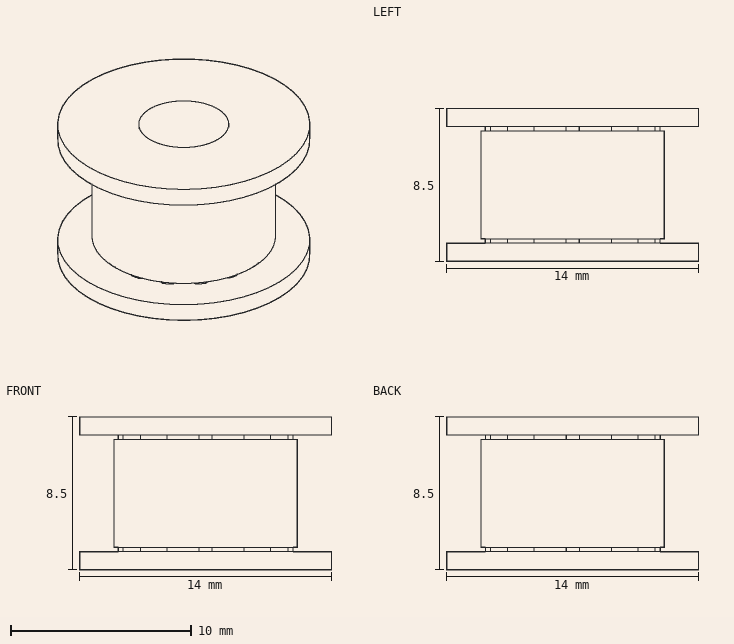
import cadquery as cq
import math

height = 8.5
flange_diameter = 14.0
flange_thickness = 1.02
bore_diameter = 5.0

drum_diameter = 10.19
neck_height = 0.22

tooth_count = 16
tooth_tip_diameter = 9.72
groove_radius = 0.55
groove_depth = 0.75
tooth_tip_fillet = 0.18

toothed_height = height - 2 * flange_thickness
drum_height = toothed_height - 2 * neck_height
tip_radius = tooth_tip_diameter / 2
groove_center = tip_radius - groove_depth + groove_radius


def cylinder(diameter, base, length):
    """Upright cylinder on the Z axis, starting at height base."""
    return cq.Workplane("XY").workplane(offset=base).circle(diameter / 2).extrude(length)


def toothed_core():
    """Toothed cylinder between the flanges, with a tooth centred on each axis."""
    core = cylinder(tooth_tip_diameter, -toothed_height / 2, toothed_height)
    groove = (
        cq.Workplane("XY")
        .workplane(offset=-toothed_height / 2)
        .moveTo(tip_radius + groove_radius, -groove_radius)
        .lineTo(groove_center, -groove_radius)
        .threePointArc((groove_center - groove_radius, 0), (groove_center, groove_radius))
        .lineTo(tip_radius + groove_radius, groove_radius)
        .close()
        .extrude(toothed_height)
    )
    pitch_angle = 360 / tooth_count
    for index in range(tooth_count):
        core = core.cut(groove.rotate((0, 0, 0), (0, 0, 1), (index + 0.5) * pitch_angle))

    wall_end_radius = math.hypot(groove_center, groove_radius)
    mouth_limit = (wall_end_radius + tip_radius) / 2
    mouth_edges = [
        edge for edge in core.edges("|Z").vals()
        if math.hypot(edge.Center().x, edge.Center().y) > mouth_limit
    ]
    return core.newObject(mouth_edges).fillet(tooth_tip_fillet)


result = toothed_core().union(cylinder(drum_diameter, -drum_height / 2, drum_height))
for flange_base in (-height / 2, toothed_height / 2):
    result = result.union(cylinder(flange_diameter, flange_base, flange_thickness))
result = result.cut(cylinder(bore_diameter, -height / 2, height))